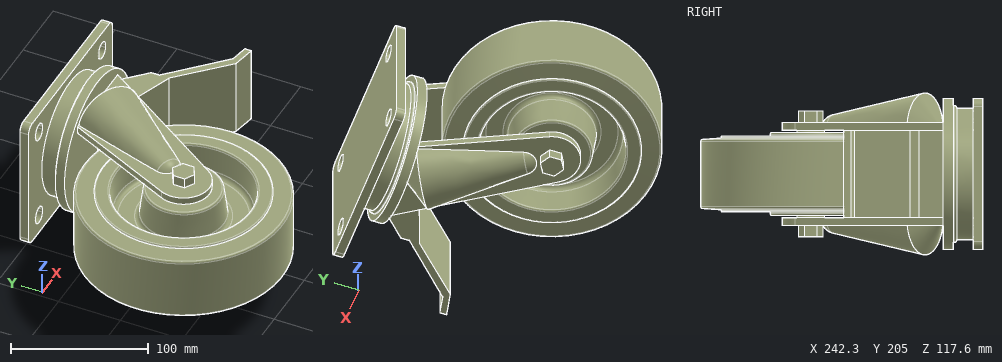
import cadquery as cq
import math


TYRE_RADIUS = 80.0
TYRE_SHOULDER_Z = 23.7
TYRE_EDGE_ROUND = 1.5
TYRE_INNER_Z = 26.2
RIM_DIAMETER = 130.0
RIM_RADIUS = RIM_DIAMETER / 2
RIM_FACE_Z = 27.5
RIM_EDGE_ROUND = 0.7
POCKET_MOUTH_RADIUS = 55.0
POCKET_MOUTH_ROUND = 1.2
POCKET_FOOT_RADIUS = 51.5
POCKET_FLOOR_Z = 4.0
POCKET_FLOOR_OUTER_RADIUS = 48.0
POCKET_FLOOR_INNER_RADIUS = 35.5
FLOOR_ROUND_HEIGHT = 3.6
HUB_FOOT_RADIUS = 32.2
HUB_DIAMETER = 58.9
HUB_RADIUS = HUB_DIAMETER / 2
HUB_FACE_Z = 30.3
HUB_EDGE_ROUND = 1.5

SPACER_DIAMETER = 20.0
HEX_FLATS = 15.5
HEX_END_Z = 45.8

PLATE_TOP_Y = 125.0
PLATE_THICKNESS = 7.0
PLATE_LENGTH = 139.8
PLATE_WIDTH = 110.0
PLATE_CORNER_RADIUS = 6.0
SLOT_SPACING_X = 105.0
SLOT_SPACING_Z = 77.5
SLOT_WIDTH = 11.1
SLOT_LENGTH = 13.8
SWIVEL_X = 55.0
NECK_DIAMETER = 95.7
COLLAR_DIAMETER = 99.5
COLLAR_HEIGHT = 2.5
COLLAR_ROUND = 1.7
RING_DIAMETER = 110.0
RING_TOP_Y = 103.7
RING_BOTTOM_Y = 96.2
PLATE_BOTTOM_Y = PLATE_TOP_Y - PLATE_THICKNESS

FORK_INNER_Z = 31.7
FORK_THICKNESS = 5.8
FORK_END_RADIUS = 20.8
FORK_TOP_LEFT_X = 21.5
FORK_TOP_RIGHT_X = 88.5

BULGE_START = (9.2, 17.0)
BULGE_END = (46.5, 83.0)
BULGE_SMALL_DIAMETER = 23.0
BULGE_SMALL_RADIUS = BULGE_SMALL_DIAMETER / 2
BULGE_LARGE_RADIUS = 27.1
BULGE_CAP_HEIGHT = 15.5

PEDAL_OUTLINE = [
    (SWIVEL_X, RING_BOTTOM_Y),
    (SWIVEL_X, 83.3),
    (107.8, 64.0),
    (144.0, 27.5),
    (162.3, 24.0),
    (162.3, 29.3),
    (148.3, 32.0),
    (107.8, 72.0),
    (107.8, 78.5),
    (90.0, RING_BOTTOM_Y),
]


def circle_point(center, radius, angle_degrees=45):
    """Point on a circle, by default the middle of its upper right quarter."""
    angle = math.radians(angle_degrees)
    return (center[0] + radius * math.cos(angle), center[1] + radius * math.sin(angle))


def make_half_wheel():
    """Upper half of the wheel, revolved about Z from its (radius, z) section."""
    tyre_round_center = (TYRE_RADIUS - TYRE_EDGE_ROUND, TYRE_SHOULDER_Z)
    rim_round_center = (RIM_RADIUS - RIM_EDGE_ROUND, RIM_FACE_Z - RIM_EDGE_ROUND)
    mouth_round_center = (POCKET_MOUTH_RADIUS, RIM_FACE_Z - POCKET_MOUTH_ROUND)
    hub_round_center = (HUB_RADIUS - HUB_EDGE_ROUND, HUB_FACE_Z - HUB_EDGE_ROUND)
    floor_round_z = POCKET_FLOOR_Z + FLOOR_ROUND_HEIGHT
    section = (
        cq.Workplane("XZ")
        .lineTo(TYRE_RADIUS, 0)
        .lineTo(TYRE_RADIUS, TYRE_SHOULDER_Z)
        .threePointArc(
            circle_point(tyre_round_center, TYRE_EDGE_ROUND),
            (TYRE_RADIUS - TYRE_EDGE_ROUND, TYRE_SHOULDER_Z + TYRE_EDGE_ROUND),
        )
        .lineTo(RIM_RADIUS, TYRE_INNER_Z)
        .lineTo(RIM_RADIUS, RIM_FACE_Z - RIM_EDGE_ROUND)
        .threePointArc(
            circle_point(rim_round_center, RIM_EDGE_ROUND),
            (RIM_RADIUS - RIM_EDGE_ROUND, RIM_FACE_Z),
        )
        .lineTo(POCKET_MOUTH_RADIUS, RIM_FACE_Z)
        .threePointArc(
            circle_point(mouth_round_center, POCKET_MOUTH_ROUND, 135),
            (POCKET_MOUTH_RADIUS - POCKET_MOUTH_ROUND, RIM_FACE_Z - POCKET_MOUTH_ROUND),
        )
        .lineTo(POCKET_FOOT_RADIUS, floor_round_z)
        .tangentArcPoint((POCKET_FLOOR_OUTER_RADIUS, POCKET_FLOOR_Z), relative=False)
        .lineTo(POCKET_FLOOR_INNER_RADIUS, POCKET_FLOOR_Z)
        .tangentArcPoint((HUB_FOOT_RADIUS, floor_round_z), relative=False)
        .lineTo(HUB_RADIUS, HUB_FACE_Z - HUB_EDGE_ROUND)
        .threePointArc(
            circle_point(hub_round_center, HUB_EDGE_ROUND),
            (HUB_RADIUS - HUB_EDGE_ROUND, HUB_FACE_Z),
        )
        .lineTo(0, HUB_FACE_Z)
        .close()
    )
    return section.revolve(360, (0, 0, 0), (0, 1, 0))


def make_axle():
    """Hexagonal axle with round spacers reaching the fork legs."""
    spacer = cq.Workplane("XY").circle(SPACER_DIAMETER / 2).extrude(FORK_INNER_Z, both=True)
    hex_corners = HEX_FLATS / math.cos(math.pi / 6)
    hexagon = (
        cq.Workplane("XY")
        .transformed(rotate=(0, 0, 90))
        .polygon(6, hex_corners)
        .extrude(HEX_END_Z, both=True)
    )
    return spacer.union(hexagon)


def swivel_disc(diameter, bottom_y, top_y):
    """Disc on the swivel axis between two heights along Y."""
    return (
        cq.Workplane("XZ", origin=(SWIVEL_X, bottom_y, 0))
        .circle(diameter / 2)
        .extrude(bottom_y - top_y)
    )


def make_swivel_head():
    """Mounting plate with its slots, the neck, the rounded collar and the ring."""
    plate = (
        cq.Workplane("XZ", origin=(SWIVEL_X, PLATE_BOTTOM_Y, 0))
        .rect(PLATE_LENGTH, PLATE_WIDTH)
        .extrude(-PLATE_THICKNESS)
        .edges("|Y")
        .fillet(PLATE_CORNER_RADIUS)
    )
    slots = (
        cq.Workplane("XZ", origin=(SWIVEL_X, PLATE_BOTTOM_Y, 0))
        .rarray(SLOT_SPACING_X, SLOT_SPACING_Z, 2, 2)
        .slot2D(SLOT_LENGTH, SLOT_WIDTH, 90)
        .extrude(-PLATE_THICKNESS)
    )
    neck = swivel_disc(NECK_DIAMETER, RING_TOP_Y, PLATE_BOTTOM_Y)
    collar = swivel_disc(COLLAR_DIAMETER, RING_TOP_Y, RING_TOP_Y + COLLAR_HEIGHT)
    collar = collar.faces(">Y").edges().fillet(COLLAR_ROUND)
    ring = swivel_disc(RING_DIAMETER, RING_BOTTOM_Y, RING_TOP_Y)
    return plate.cut(slots).union(neck).union(collar).union(ring)


def tangent_point(corner, side):
    """Where a line from the corner touches the fork end circle; side is +1 or -1."""
    distance = math.hypot(*corner)
    angle = math.atan2(corner[1], corner[0]) + side * math.acos(FORK_END_RADIUS / distance)
    return (FORK_END_RADIUS * math.cos(angle), FORK_END_RADIUS * math.sin(angle))


def make_fork_leg():
    """Flat leg on the +Z side, narrowing tangentially onto a round end at the axle."""
    top_left = (FORK_TOP_LEFT_X, RING_BOTTOM_Y)
    top_right = (FORK_TOP_RIGHT_X, RING_BOTTOM_Y)
    return (
        cq.Workplane("XY", origin=(0, 0, FORK_INNER_Z))
        .moveTo(*top_left)
        .lineTo(*tangent_point(top_left, 1))
        .threePointArc((0, -FORK_END_RADIUS), tangent_point(top_right, -1))
        .lineTo(*top_right)
        .close()
        .extrude(FORK_THICKNESS)
    )


def make_bulge():
    """Half of a round-nosed cone, cut along the inner face of the +Z fork leg."""
    axis_x = BULGE_END[0] - BULGE_START[0]
    axis_y = BULGE_END[1] - BULGE_START[1]
    length = math.hypot(axis_x, axis_y)
    taper = math.atan2(BULGE_LARGE_RADIUS - BULGE_SMALL_RADIUS, length)
    nose_radius = BULGE_SMALL_RADIUS / math.cos(taper)
    nose_center = BULGE_SMALL_RADIUS * math.tan(taper)
    nose_angle = (math.pi / 2 - taper) / 2
    nose_middle = (
        nose_center - nose_radius * math.cos(nose_angle),
        nose_radius * math.sin(nose_angle),
    )
    axis_plane = cq.Plane(
        origin=(BULGE_START[0], BULGE_START[1], FORK_INNER_Z),
        xDir=(axis_x, axis_y, 0),
        normal=(0, 0, 1),
    )
    return (
        cq.Workplane(axis_plane)
        .moveTo(nose_center - nose_radius, 0)
        .threePointArc(nose_middle, (0, BULGE_SMALL_RADIUS))
        .lineTo(length, BULGE_LARGE_RADIUS)
        .lineTo(length + BULGE_CAP_HEIGHT, 0)
        .close()
        .revolve(180, (0, 0, 0), (1, 0, 0))
    )


def make_pedal():
    """Brake pedal filling the gap between the fork legs."""
    return cq.Workplane("XY").polyline(PEDAL_OUTLINE).close().extrude(FORK_INNER_Z, both=True)


def mirrored(half):
    """The body together with its mirror image across the wheel mid-plane."""
    return half.union(half.mirror("XY"))


half_wheel = make_half_wheel()
wheel = half_wheel.union(half_wheel.rotate((0, 0, 0), (1, 0, 0), 180))
fork = mirrored(make_fork_leg().union(make_bulge()))
result = make_swivel_head().union(make_pedal()).union(fork).union(make_axle()).union(wheel)